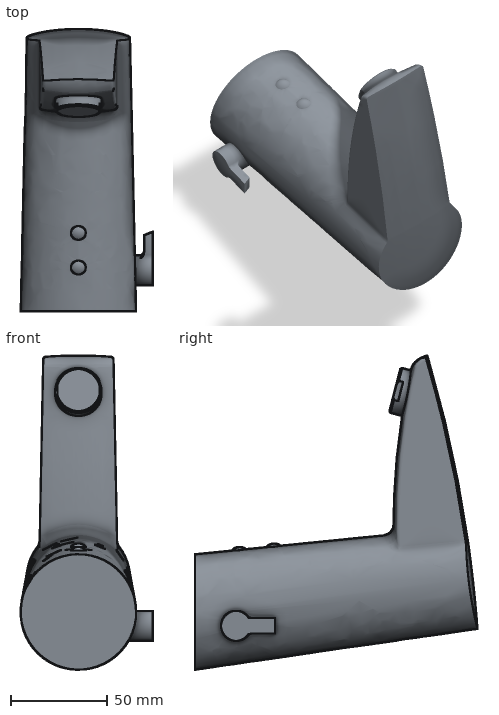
import cadquery as cq

inlet_radius = 30.0
back_radius = 26.8
back_center_z = 18.0
body_length = 147.0
body_overrun = 9.8

back_bottom = (147.3, -13.0)
back_middle = (136.3, 70.3)
tip = (120.8, 133.4)
cap_middle = (116.9, 131.7)
cap_front = (112.8, 127.8)
front_middle = (105.8, 88.3)
front_bottom = (104.5, 16.3)
column_root_z = front_bottom[1]
column_half_width_root = 20.6
column_half_width_tip = 18.3
back_bulge_radius = 163.5
front_bulge_radius = 114.4
bulge_angle = 60.0
cap_edge_fillet = 4.1
column_edge_fillet = 1.6
column_root_fillet = 5.4

outlet_center = (104.0, 115.4)
outlet_tilt = 14.5
outlet_radius = 12.1
outlet_depth = 9.8
outlet_chamfer = 0.8
outlet_flat_offset = 11.0
outlet_flat_length = 3.1

button_positions = (23.2, 41.2)
button_radius = 3.6
button_height = 1.5

knob_y = 21.4
knob_z = -7.2
knob_radius = 7.8
knob_end_x = 38.7
lever_thickness = 4.5
lever_width = 8.2
lever_tip_y = 41.5
lever_tip_slant = 1.8
lever_fillet = 2.3

pick_margin = 1.6
corner_end_margin = 32.7
seam_rise = 13.0


def side_sketch():
    """YZ workplane: local x is Y, local y is Z."""
    return cq.Workplane("YZ")


def bulged(profile, axis_y):
    """Revolve a YZ profile about an axis parallel to the column back,
    spread equally to both sides of the YZ plane."""
    lean = (tip[0] - back_bottom[0]) / (tip[1] - back_bottom[1])
    axis_end = (axis_y + lean * tip[1], tip[1])
    solid = profile.revolve(bulge_angle, (axis_y, 0), axis_end)
    start = (0, axis_y, 0)
    end = (0, axis_end[0], axis_end[1])
    return solid.rotate(start, end, -bulge_angle / 2)


def make_body():
    length = body_length + body_overrun
    slope = back_center_z / body_length
    taper = (inlet_radius - back_radius) / body_length
    return (
        cq.Workplane("XZ")
        .circle(inlet_radius)
        .workplane(offset=-length)
        .center(0, slope * length)
        .circle(inlet_radius - taper * length)
        .loft(ruled=True)
    )


def make_back_waste():
    """Everything behind the bulged back surface."""
    floor_z = -49.0
    roof_z = 147.1
    rear_y = body_length + 2 * body_overrun
    axis_y = back_bottom[0] - back_bulge_radius
    profile = (
        side_sketch()
        .moveTo(rear_y, floor_z)
        .lineTo(back_bottom[0], floor_z)
        .lineTo(*back_bottom)
        .threePointArc(back_middle, tip)
        .lineTo(tip[0], roof_z)
        .lineTo(rear_y, roof_z)
        .close()
    )
    return bulged(profile, axis_y)


def make_column(back_waste):
    rear_y = body_length + body_overrun
    front = (
        side_sketch()
        .moveTo(*front_bottom)
        .threePointArc(front_middle, cap_front)
        .threePointArc(cap_middle, tip)
        .lineTo(rear_y, tip[1])
        .lineTo(rear_y, column_root_z)
        .close()
    )
    front_envelope = bulged(front, front_bottom[0] + front_bulge_radius)
    taper_slab = (
        cq.Workplane("XZ")
        .polyline([
            (-column_half_width_root, column_root_z),
            (column_half_width_root, column_root_z),
            (column_half_width_tip, tip[1]),
            (-column_half_width_tip, tip[1]),
        ])
        .close()
        .extrude(-rear_y)
    )
    column = taper_slab.intersect(front_envelope).cut(back_waste)
    near_cap_front = cq.selectors.BoxSelector(
        (-pick_margin, cap_front[0] - pick_margin, cap_front[1] - pick_margin),
        (pick_margin, cap_front[0] + pick_margin, cap_front[1] + pick_margin),
    )
    column = column.edges(near_cap_front).fillet(cap_edge_fillet)
    mid_front = cq.selectors.BoxSelector(
        (-column_half_width_root, front_bottom[0], column_root_z + corner_end_margin),
        (column_half_width_root, cap_front[0], cap_front[1] - corner_end_margin),
    )
    return column.edges(mid_front).fillet(column_edge_fillet)


def blend_column_root(shell):
    """Round the seam where the column sides and front meet the body."""
    side = column_half_width_root
    seam_region = cq.selectors.BoxSelector(
        (-side - pick_margin, front_bottom[0] - 2 * pick_margin, inlet_radius),
        (side + pick_margin, body_length, inlet_radius + seam_rise),
        boundingbox=True,
    )
    return shell.edges(seam_region).fillet(column_root_fillet)


def make_outlet():
    disc = (
        cq.Workplane("XY")
        .circle(outlet_radius)
        .extrude(-outlet_depth)
        .faces(">Z")
        .chamfer(outlet_chamfer)
    )
    flats = (
        cq.Workplane("XY")
        .rect(2 * outlet_flat_offset, 4 * outlet_radius)
        .extrude(-outlet_flat_length)
    )
    rear = (
        cq.Workplane("XY")
        .workplane(offset=-outlet_flat_length)
        .circle(2 * outlet_radius)
        .extrude(-outlet_depth)
    )
    disc = disc.intersect(flats.union(rear))
    return (
        disc.rotate((0, 0, 0), (1, 0, 0), 90 - outlet_tilt)
        .translate((0, outlet_center[0], outlet_center[1]))
    )


def make_button(y):
    sphere_radius = (button_radius**2 + button_height**2) / (2 * button_height)
    top_slope = (back_center_z + back_radius - inlet_radius) / body_length
    surface_z = inlet_radius + top_slope * y
    return (
        cq.Workplane("XY")
        .sphere(sphere_radius)
        .translate((0, y, surface_z + button_height - sphere_radius))
    )


def make_knob():
    knob = (
        side_sketch()
        .center(knob_y, knob_z)
        .circle(knob_radius)
        .extrude(knob_end_x)
    )
    inner_x = knob_end_x - lever_thickness
    lever = (
        cq.Workplane("XY")
        .workplane(offset=knob_z - lever_width / 2)
        .polyline([
            (inner_x, knob_y),
            (knob_end_x, knob_y),
            (knob_end_x, lever_tip_y),
            (inner_x, lever_tip_y - lever_tip_slant),
        ])
        .close()
        .extrude(lever_width)
    )
    root_y = knob_y + knob_radius
    root = cq.selectors.BoxSelector(
        (inner_x - pick_margin, root_y - 1.5 * pick_margin, knob_z - lever_width),
        (knob_end_x - 0.1 * pick_margin, root_y + pick_margin, knob_z + lever_width),
    )
    return knob.union(lever).edges(root).fillet(lever_fillet)


back_waste = make_back_waste()
column = make_column(back_waste)
body = make_body().cut(back_waste)
result = blend_column_root(body.union(column))
result = result.union(make_outlet()).union(make_knob())
for button_y in button_positions:
    result = result.union(make_button(button_y))